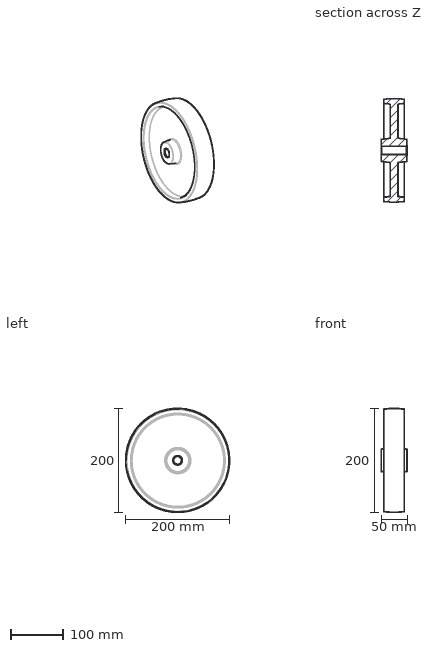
import cadquery as cq
import math

wheel_radius = 100.0
rim_half_width = 20.0
hub_half_length = 25.0
web_half_thickness = 7.5

tread_edge_radius = 98.5
tread_edge_fillet = 1.5

rim_mouth_radius = 89.8
draft_angle = 7.0
rim_mouth_fillet = 1.5
rim_root_fillet = 0.8

hub_end_radius = 21.5
hub_end_fillet = 1.0
hub_root_fillet = 2.0
bore_radius = 7.5
bore_chamfer = 1.5

draft_slope = math.tan(math.radians(draft_angle))
rim_root_radius = rim_mouth_radius - (rim_half_width - web_half_thickness) * draft_slope
hub_root_radius = hub_end_radius + (hub_half_length - web_half_thickness) * draft_slope


def make_wheel_body():
    """Revolve the half section of rim, web and hub about the X axis."""
    section = (
        cq.Workplane("XY")
        .moveTo(-hub_half_length, 0)
        .lineTo(-hub_half_length, hub_end_radius)
        .lineTo(-web_half_thickness, hub_root_radius)
        .lineTo(-web_half_thickness, rim_root_radius)
        .lineTo(-rim_half_width, rim_mouth_radius)
        .lineTo(-rim_half_width, tread_edge_radius)
        .threePointArc((0, wheel_radius), (rim_half_width, tread_edge_radius))
        .lineTo(rim_half_width, rim_mouth_radius)
        .lineTo(web_half_thickness, rim_root_radius)
        .lineTo(web_half_thickness, hub_root_radius)
        .lineTo(hub_half_length, hub_end_radius)
        .lineTo(hub_half_length, 0)
        .close()
    )
    return section.revolve(360, (0, 0, 0), (1, 0, 0))


def fillet_rings(body, half_spacing, ring_radius, fillet_radius):
    """Round the circular edges of ring_radius at X = -half_spacing and X = +half_spacing."""
    tolerance = 0.002

    def is_ring(edge):
        if edge.geomType() != "CIRCLE":
            return False
        same_radius = abs(edge.radius() - ring_radius) < tolerance
        same_place = abs(abs(edge.Center().x) - half_spacing) < tolerance
        return same_radius and same_place

    rings = [edge for edge in body.edges().vals() if is_ring(edge)]
    return body.newObject(rings).fillet(fillet_radius)


def make_bore_cutter():
    """Through bore, flared by a 45 degree chamfer at both ends."""
    flare_radius = bore_radius + bore_chamfer
    flare_start = hub_half_length - bore_chamfer
    section = (
        cq.Workplane("XY")
        .moveTo(-hub_half_length, 0)
        .lineTo(-hub_half_length, flare_radius)
        .lineTo(-flare_start, bore_radius)
        .lineTo(flare_start, bore_radius)
        .lineTo(hub_half_length, flare_radius)
        .lineTo(hub_half_length, 0)
        .close()
    )
    return section.revolve(360, (0, 0, 0), (1, 0, 0))


wheel = make_wheel_body()
wheel = fillet_rings(wheel, rim_half_width, tread_edge_radius, tread_edge_fillet)
wheel = fillet_rings(wheel, rim_half_width, rim_mouth_radius, rim_mouth_fillet)
wheel = fillet_rings(wheel, web_half_thickness, rim_root_radius, rim_root_fillet)
wheel = fillet_rings(wheel, hub_half_length, hub_end_radius, hub_end_fillet)
wheel = fillet_rings(wheel, web_half_thickness, hub_root_radius, hub_root_fillet)

result = wheel.cut(make_bore_cutter())